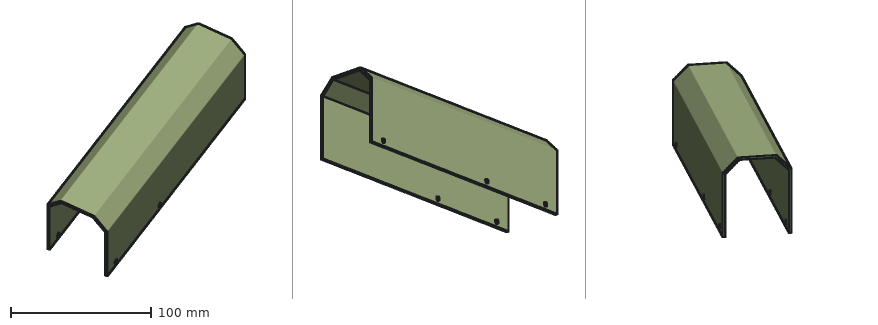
import cadquery as cq
import math

length = 192.0
width = 50.0
height = 60.0

thickness = 2.0
slope_size = 11.1
bend_radius = 1.0

hole_diameter = 3.0
hole_height = 4.0
end_margin = 12.0
through_hole_places = [end_margin, 73.0]
single_hole_place = length - end_margin


def folded_block(block_width, block_height, slope):
    """Solid block along Y, with its two upper long edges cut at 45 degrees."""
    return (
        cq.Workplane("XY")
        .box(block_width, length, block_height, centered=(True, True, False))
        .edges("|Y and >Z")
        .chamfer(slope)
    )


def hole_cutter(place, depth):
    """Cylinder along +X, starting at the outer face of the left wall."""
    return cq.Workplane(
        cq.Solid.makeCylinder(
            hole_diameter / 2,
            depth,
            cq.Vector(-width / 2, place - length / 2, hole_height),
            cq.Vector(1, 0, 0),
        )
    )


outer = folded_block(width, height, slope_size).edges("|Y and (not <Z)").fillet(bend_radius)

inner_slope = slope_size - (2 - math.sqrt(2)) * thickness
inner = folded_block(width - 2 * thickness, height - thickness, inner_slope)
result = outer.cut(inner)

for hole_place in through_hole_places:
    result = result.cut(hole_cutter(hole_place, width))
result = result.cut(hole_cutter(single_hole_place, 2 * thickness))